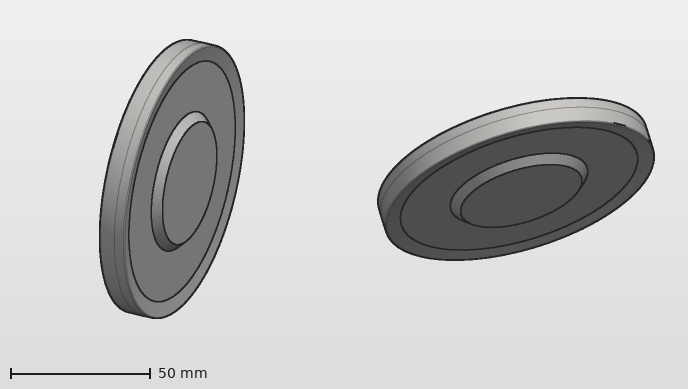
import cadquery as cq

outer_radius = 50.0
tread_taper = 0.05
parting_x = 1.0
rim_width = 10.0
rim_inner_radius = 44.0
edge_fillet = 0.4

disc_thickness = 8.0
hub_length = 14.0
hub_base_radius = 25.5

edge_radius = outer_radius - tread_taper
half_disc = disc_thickness / 2
half_rim = rim_width / 2
half_hub = hub_length / 2
hub_chamfer = half_hub - half_disc
hub_top_radius = hub_base_radius - hub_chamfer


def revolve_about_x(profile):
    """Turn a closed (axial, radial) outline once around the X axis."""
    return (
        cq.Workplane("XY")
        .polyline(profile)
        .close()
        .revolve(360, (0, 0, 0), (1, 0, 0))
    )


def make_core():
    """Flat disc with a conical hub boss on each side."""
    return revolve_about_x([
        (-half_hub, 0),
        (-half_hub, hub_top_radius),
        (-half_disc, hub_base_radius),
        (-half_disc, rim_inner_radius),
        (half_disc, rim_inner_radius),
        (half_disc, hub_base_radius),
        (half_hub, hub_top_radius),
        (half_hub, 0),
    ])


def make_rim():
    """Ring around the disc: side faces rise outward, tread tapers away from the parting line."""
    rim = revolve_about_x([
        (-half_disc, rim_inner_radius),
        (-half_rim, edge_radius),
        (parting_x, outer_radius),
        (half_rim, edge_radius),
        (half_disc, rim_inner_radius),
    ])
    side_edges = rim.edges("<X or >X")
    return side_edges.fillet(edge_fillet)


core = make_core()
rim = make_rim()

result = cq.Compound.makeCompound([core.val(), rim.val()])